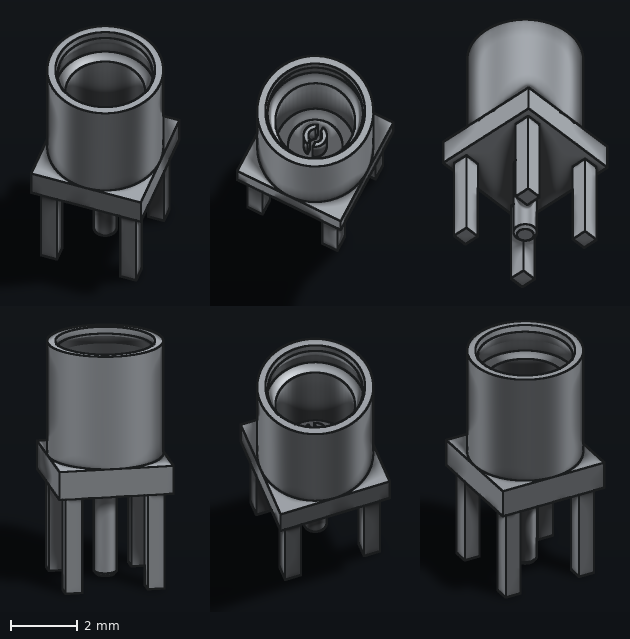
import cadquery as cq

TOTAL_HEIGHT = 7.44
BASE_SIDE = 3.51
BASE_HEIGHT = 0.88

LEG_LENGTH = 3.03
LEG_SIDE = 0.51
LEG_PITCH = 2.54

PIN_DIAMETER = 0.71
PIN_LENGTH = 2.91
PIN_BEVEL_HEIGHT = 0.11
PIN_BEVEL_INSET = 0.1

BARREL_DIAMETER = BASE_SIDE
MOUTH_DIAMETER = 3.01
THROAT_DIAMETER = 2.88
GROOVE_DIAMETER = MOUTH_DIAMETER
BORE_DIAMETER = 2.41
THROAT_START_DEPTH = 0.19
THROAT_END_DEPTH = 0.275
GROOVE_START_DEPTH = 0.53
GROOVE_END_DEPTH = 0.89
BORE_START_DEPTH = 1.005

INSULATOR_DIAMETER = 1.65
INSULATOR_HEIGHT = 0.1
CONTACT_DIAMETER = PIN_DIAMETER
CONTACT_HOLE_DIAMETER = 0.42
CONTACT_SLOT_WIDTH = 0.18
CONTACT_HEIGHT = 1.0

RIM_Z = TOTAL_HEIGHT - LEG_LENGTH
FLOOR_Z = BASE_HEIGHT


def disc(diameter, bottom, height):
    return cq.Workplane("XY").workplane(offset=bottom).circle(diameter / 2).extrude(height)


def make_socket():
    """Revolved cavity: tapered mouth, narrow throat, snap groove, conical seat and bore."""
    profile = [
        (0, FLOOR_Z),
        (BORE_DIAMETER / 2, FLOOR_Z),
        (BORE_DIAMETER / 2, RIM_Z - BORE_START_DEPTH),
        (GROOVE_DIAMETER / 2, RIM_Z - GROOVE_END_DEPTH),
        (GROOVE_DIAMETER / 2, RIM_Z - GROOVE_START_DEPTH),
        (THROAT_DIAMETER / 2, RIM_Z - THROAT_END_DEPTH),
        (THROAT_DIAMETER / 2, RIM_Z - THROAT_START_DEPTH),
        (MOUTH_DIAMETER / 2, RIM_Z),
        (0, RIM_Z),
    ]
    return cq.Workplane("XZ").polyline(profile).close().revolve(360, (0, 0), (0, 1))


def make_body():
    base = cq.Workplane("XY").rect(BASE_SIDE, BASE_SIDE).extrude(BASE_HEIGHT)
    barrel = disc(BARREL_DIAMETER, BASE_HEIGHT, RIM_Z - BASE_HEIGHT)
    return base.union(barrel).cut(make_socket())


def make_contact():
    """Insulator disc carrying two curved prongs separated by a slot along X."""
    insulator = disc(INSULATOR_DIAMETER, FLOOR_Z, INSULATOR_HEIGHT)
    prong_z = FLOOR_Z + INSULATOR_HEIGHT
    sleeve = disc(CONTACT_DIAMETER, prong_z, CONTACT_HEIGHT)
    hole = disc(CONTACT_HOLE_DIAMETER, prong_z, CONTACT_HEIGHT)
    slot = (
        cq.Workplane("XY")
        .workplane(offset=prong_z)
        .rect(INSULATOR_DIAMETER, CONTACT_SLOT_WIDTH)
        .extrude(CONTACT_HEIGHT)
    )
    return insulator.union(sleeve.cut(hole).cut(slot))


def make_legs():
    return (
        cq.Workplane("XY")
        .rarray(LEG_PITCH, LEG_PITCH, 2, 2)
        .rect(LEG_SIDE, LEG_SIDE)
        .extrude(-LEG_LENGTH)
    )


def make_pin():
    pin = disc(PIN_DIAMETER, -PIN_LENGTH, PIN_LENGTH)
    return pin.faces("<Z").chamfer(PIN_BEVEL_HEIGHT, PIN_BEVEL_INSET)


result = make_body().union(make_contact()).union(make_legs()).union(make_pin())